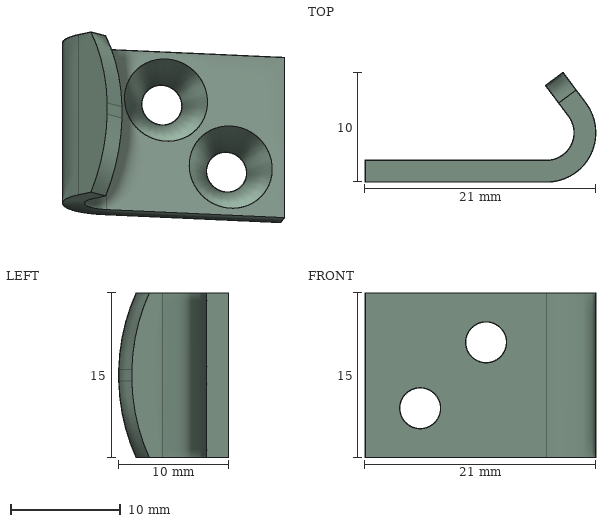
import cadquery as cq
import math

TOTAL_LENGTH = 21.0
TOTAL_DEPTH = 10.0
WIDTH = 15.0
THICKNESS = 2.0
INNER_RADIUS = 2.5
BEND_ANGLE = 126.87
TIP_RADIUS = 15.0
TIP_FLAT = 1.06
HOLE_COUNT = 2
HOLE_DIAMETER = 3.7
COUNTERSINK_ANGLE = 90.0
FIRST_HOLE_X = 5.0
FIRST_HOLE_Z = 4.5
HOLE_PITCH = 6.0

OUTER_RADIUS = INNER_RADIUS + THICKNESS
PLATE_LENGTH = TOTAL_LENGTH - OUTER_RADIUS
BEND = math.radians(BEND_ANGLE)
LIP_DIRECTION = (math.cos(BEND), math.sin(BEND))
LIP_NORMAL = (math.sin(BEND), -math.cos(BEND))
LIP_LENGTH = (TOTAL_DEPTH - OUTER_RADIUS * (1 - math.cos(BEND))) / math.sin(BEND)


def bend_point(radius, angle):
    """Point on the bend at a radius, after turning through an angle from the plate."""
    return (
        PLATE_LENGTH + radius * math.sin(angle),
        OUTER_RADIUS - radius * math.cos(angle),
    )


def along_lip(point, distance):
    """Point moved by a distance in the direction of the lip."""
    return (
        point[0] + distance * LIP_DIRECTION[0],
        point[1] + distance * LIP_DIRECTION[1],
    )


def make_bent_strip():
    """Flat plate, bend and straight lip, extruded over the full width."""
    outer_end = bend_point(OUTER_RADIUS, BEND)
    inner_end = bend_point(INNER_RADIUS, BEND)
    return (
        cq.Workplane("XY")
        .lineTo(PLATE_LENGTH, 0)
        .threePointArc(bend_point(OUTER_RADIUS, BEND / 2), outer_end)
        .lineTo(*along_lip(outer_end, LIP_LENGTH))
        .lineTo(*along_lip(inner_end, LIP_LENGTH))
        .lineTo(*inner_end)
        .threePointArc(bend_point(INNER_RADIUS, BEND / 2), bend_point(INNER_RADIUS, 0))
        .lineTo(0, THICKNESS)
        .close()
        .extrude(WIDTH)
    )


def make_tip_waste():
    """Material outside the rounded free end, drawn in the plane of the lip."""
    half_width = WIDTH / 2
    flat_angle = math.asin(TIP_FLAT / 2 / TIP_RADIUS)
    corner_angle = math.asin(half_width / TIP_RADIUS)
    middle_angle = (flat_angle + corner_angle) / 2
    arc_center = -TIP_RADIUS * math.cos(flat_angle)

    def arc_point(angle):
        """Point on the tip circle, at an angle from the middle of the lip."""
        return (
            arc_center + TIP_RADIUS * math.cos(angle),
            TIP_RADIUS * math.sin(angle),
        )

    tip_x, tip_y = along_lip(bend_point(INNER_RADIUS, BEND), LIP_LENGTH)
    lip_plane = cq.Plane(
        origin=(tip_x, tip_y, half_width),
        xDir=(*LIP_DIRECTION, 0),
        normal=(*LIP_NORMAL, 0),
    )
    return (
        cq.Workplane(lip_plane)
        .moveTo(*arc_point(-corner_angle))
        .threePointArc(arc_point(-middle_angle), arc_point(-flat_angle))
        .lineTo(*arc_point(flat_angle))
        .threePointArc(arc_point(middle_angle), arc_point(corner_angle))
        .lineTo(THICKNESS, half_width)
        .lineTo(THICKNESS, -half_width)
        .close()
        .extrude(THICKNESS)
    )


def make_countersunk_hole(x, z):
    """Cone through the plate, narrow at the outer face and wide at the inner face."""
    narrow_radius = HOLE_DIAMETER / 2
    half_angle = math.radians(COUNTERSINK_ANGLE / 2)
    wide_radius = narrow_radius + THICKNESS * math.tan(half_angle)
    return cq.Workplane(
        cq.Solid.makeCone(
            narrow_radius,
            wide_radius,
            THICKNESS,
            pnt=cq.Vector(x, 0, z),
            dir=cq.Vector(0, 1, 0),
        )
    )


result = make_bent_strip().cut(make_tip_waste())
for step in range(HOLE_COUNT):
    offset = step * HOLE_PITCH
    result = result.cut(make_countersunk_hole(FIRST_HOLE_X + offset, FIRST_HOLE_Z + offset))